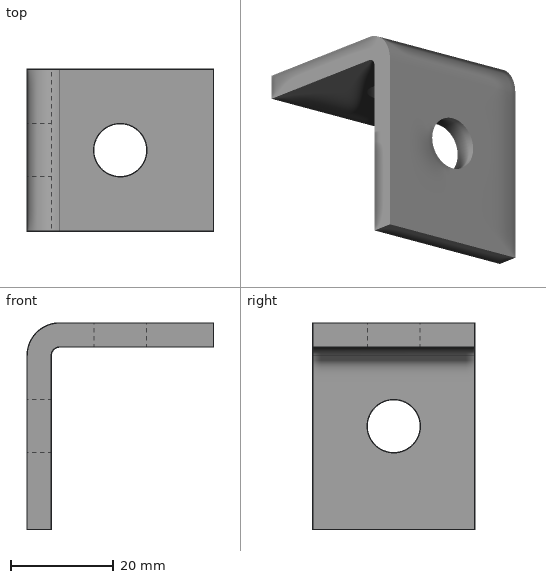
import cadquery as cq

length_x = 36.52
width_y = 31.75
height_z = 40.5
thickness = 4.78
inner_bend_radius = 1.6
outer_bend_radius = inner_bend_radius + thickness
hole_diameter = 10.35


def bent_plate():
    """Upright leg along the -X side and flat leg on top, joined by a bend."""
    outer = cq.Workplane("XY").box(length_x, width_y, height_z, centered=(False, True, False))
    outer = outer.edges("|Y and <X and >Z").fillet(outer_bend_radius)
    inner = (
        cq.Workplane("XY")
        .box(length_x, width_y, height_z, centered=(False, True, False))
        .edges("|Y and <X and >Z")
        .fillet(inner_bend_radius)
        .translate((thickness, 0, -thickness))
    )
    return outer.cut(inner)


def top_leg_hole():
    """Vertical cutter midway along the overall length."""
    return (
        cq.Workplane("XY")
        .center(length_x / 2, 0)
        .circle(hole_diameter / 2)
        .extrude(height_z)
    )


def upright_leg_hole():
    """Horizontal cutter midway up the overall height."""
    return (
        cq.Workplane("YZ")
        .center(0, height_z / 2)
        .circle(hole_diameter / 2)
        .extrude(length_x)
    )


result = bent_plate().cut(top_leg_hole()).cut(upright_leg_hole())